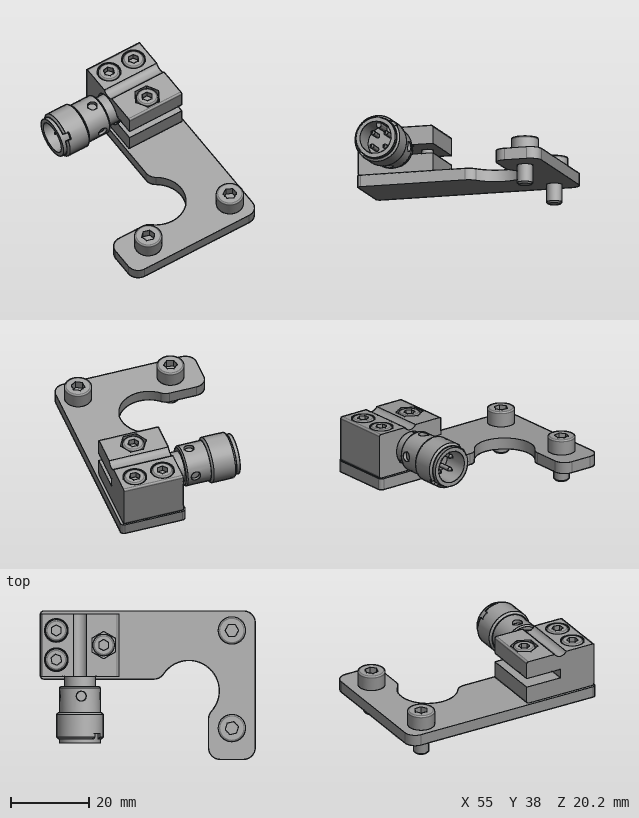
import cadquery as cq
import math


plate_length = 55.0
plate_width = 38.0
plate_thickness = 3.0
arm_width = 17.5
leg_width = 12.0
plate_round = 3.0
arm_end_round = 1.0
cutout_radius = 7.75
cutout_x = 38.0
cutout_y = -20.45

block_length = 20.0
block_width = 16.0
block_height = 12.0
block_gap = 0.15
block_edge_round = 0.5
block_front = -(arm_width + block_width) / 2
block_mid_x = block_gap + block_length / 2
block_mid_y = -arm_width / 2
block_mid_z = block_height / 2
groove_radius = 2.0
groove_rise = 1.0
slot_height = 2.5

connector_turn = -4.0
neck_diameter = 8.0
neck_recess_diameter = 8.9
neck_recess_depth = 2.0
body_start = 2.6
body_end = 17.05
body_diameter = 10.55
body_chamfer = 0.4
ring_start = 9.2
ring_end = 16.05
ring_diameter = block_height
ring_chamfer = 0.55
diagonal_turn = 45
notch_width = 2.0
notch_depth = 1.5
wrench_hole_diameter = 2.55
wrench_hole_depth = 1.0
wrench_hole_place = 5.05
socket_diameter = 8.35
socket_depth = 7.0
key_diameter = 1.25
key_offset = 3.5
key_setback = 2.0
pin_diameter = 1.1
pin_length = 5.0
pin_tip_length = 0.9
pin_tip_inset = 0.35
pin_circle_radius = 2.5

large_shank = 4.0
large_head = 7.0
large_head_height = 4.0
large_socket = 3.0
large_length = 8.05
small_shank = 3.0
small_head = 5.5
small_head_height = 3.0
small_socket = 2.5
mount_length = 11.0
clamp_length = 8.0
head_round = 0.4
tip_chamfer = 0.45
socket_ratio = 0.5

leg_screw_x = plate_length - leg_width / 2
leg_screw_inset = 5.0
leg_screw_spacing = 24.95
leg_screws = [
    (leg_screw_x, -leg_screw_inset, 32.0),
    (leg_screw_x, -leg_screw_inset - leg_screw_spacing, 44.0),
]
small_screw_offset = 6.05
mount_spacing = 7.5
mount_head_rise = 0.15
mount_x = block_mid_x - small_screw_offset
mount_screws = [
    (mount_x, block_mid_y + mount_spacing / 2, 0),
    (mount_x, block_mid_y - mount_spacing / 2, 10.0),
]
clamp_x = block_mid_x + small_screw_offset
seat_width = 6.05
mount_seat_z = block_height + mount_head_rise - small_head_height
clamp_seat_z = block_height - small_head_height


def hexagon(across_flats, height, turn):
    """Hexagonal prism standing on the XY plane, with a flat side turned from +X by the angle."""
    prism = cq.Workplane("XY").polygon(6, across_flats, circumscribed=True).extrude(height)
    return prism.rotate((0, 0, 0), (0, 0, 1), turn)


def cylinder(x, y, z, diameter, height):
    """Upright cylinder with the middle of its lower end at the point."""
    return cq.Workplane("XY", origin=(x, y, z)).circle(diameter / 2).extrude(height)


def socket_screw(shank, head, head_height, socket, length, turn):
    """Socket head cap screw along Z, with the underside of its head at the origin."""
    socket_depth = socket_ratio * head_height
    cap = cylinder(0, 0, 0, head, head_height).faces(">Z").edges().fillet(head_round)
    stem = cylinder(0, 0, -length, shank, length).faces("<Z").edges().chamfer(tip_chamfer)
    recess = hexagon(socket, socket_depth, turn).translate((0, 0, head_height - socket_depth))
    return cap.union(stem).cut(recess)


def round_corner(plate, x, y, radius):
    """Round the vertical edge of the plate nearest to the point."""
    edge = cq.selectors.NearestToPointSelector((x, y, -plate_thickness / 2))
    return plate.edges("|Z").edges(edge).fillet(radius)


def make_plate():
    leg_left = plate_length - leg_width
    plate = (
        cq.Workplane("XY")
        .polyline([
            (0, 0),
            (plate_length, 0),
            (plate_length, -plate_width),
            (leg_left, -plate_width),
            (leg_left, -arm_width),
            (0, -arm_width),
        ])
        .close()
        .extrude(-plate_thickness)
    )
    cutout = cylinder(cutout_x, cutout_y, -plate_thickness, 2 * cutout_radius, plate_thickness)
    plate = plate.cut(cutout)

    arm_break = cutout_x - math.sqrt(cutout_radius**2 - (arm_width + cutout_y) ** 2)
    leg_break = cutout_y - math.sqrt(cutout_radius**2 - (leg_left - cutout_x) ** 2)
    plate = round_corner(plate, arm_break, -arm_width, plate_round)
    plate = round_corner(plate, leg_left, leg_break, plate_round)
    plate = round_corner(plate, plate_length, 0, plate_round)
    plate = round_corner(plate, plate_length, -plate_width, plate_round)
    plate = round_corner(plate, leg_left, -plate_width, plate_round)
    plate = round_corner(plate, 0, 0, arm_end_round)
    plate = round_corner(plate, 0, -arm_width, arm_end_round)

    for x, y, _ in leg_screws:
        plate = plate.cut(cylinder(x, y, -plate_thickness, large_shank, plate_thickness))
    return plate


def front_cylinder(start, end, diameter):
    """Cylinder along the connector axis between two distances forward of the block face."""
    plane = cq.Workplane("XZ", origin=(0, -start, 0))
    return plane.circle(diameter / 2).extrude(end - start)


def make_connector():
    """Round plug connector along -Y, with the middle of its block face at the origin."""
    neck = front_cylinder(-neck_recess_depth, body_start, neck_diameter)
    body = front_cylinder(body_start, body_end, body_diameter).faces(">Y").edges().chamfer(body_chamfer)
    ring = front_cylinder(ring_start, ring_end, ring_diameter).edges().chamfer(ring_chamfer)

    notch_bar = (
        cq.Workplane("XY")
        .box(ring_diameter, notch_depth, notch_width)
        .translate((0, notch_depth / 2 - ring_end, 0))
        .rotate((0, 0, 0), (0, 1, 0), -diagonal_turn)
    )
    ring = ring.cut(notch_bar)
    connector = neck.union(body).union(ring)

    hole_floor = body_diameter / 2 - wrench_hole_depth
    hole = cylinder(0, -wrench_hole_place, hole_floor, wrench_hole_diameter, body_diameter)
    for quarter in range(4):
        connector = connector.cut(hole.rotate((0, 0, 0), (0, 1, 0), 90 * quarter))

    socket_floor = body_end - socket_depth
    socket = front_cylinder(socket_floor, body_end, socket_diameter)
    key_end = body_end - key_setback
    key_length = key_end - socket_floor
    key_slab = cq.Workplane("XY").box(key_diameter, key_length, key_offset, centered=(True, True, False))
    key_slab = key_slab.translate((0, key_length / 2 - key_end, key_offset))
    key_nose = front_cylinder(socket_floor, key_end, key_diameter).translate((0, 0, key_offset))
    connector = connector.cut(socket.cut(key_slab).cut(key_nose))
    pin = front_cylinder(socket_floor, socket_floor + pin_length, pin_diameter)
    pin = pin.faces("<Y").edges().chamfer(pin_tip_length, pin_tip_inset).translate((pin_circle_radius, 0, 0))
    for quarter in range(4):
        connector = connector.union(pin.rotate((0, 0, 0), (0, 1, 0), diagonal_turn + 90 * quarter))

    return connector.rotate((0, 0, 0), (0, 1, 0), -connector_turn)


def make_sensor():
    """Block with the connector formed on its front."""
    block = (
        cq.Workplane("XY")
        .box(block_length, block_width, block_height)
        .translate((block_mid_x, block_mid_y, block_mid_z))
        .edges("|Y")
        .fillet(block_edge_round)
    )

    groove = (
        cq.Workplane("XZ", origin=(block_mid_x, 0, block_height + groove_rise))
        .circle(groove_radius)
        .extrude(arm_width)
    )
    slot = (
        cq.Workplane("XY")
        .box(block_length / 2, block_width, slot_height)
        .translate((block_mid_x + block_length / 4, block_mid_y, block_mid_z))
    )
    block = block.cut(groove).cut(slot)

    for x, y, _ in mount_screws:
        block = block.cut(cylinder(x, y, mount_seat_z, seat_width, block_height))
        block = block.cut(cylinder(x, y, 0, small_shank, block_height))

    hex_seat = hexagon(seat_width, block_height, 0).translate((clamp_x, block_mid_y, clamp_seat_z))
    clamp_hole = cylinder(clamp_x, block_mid_y, clamp_seat_z - clamp_length, small_shank, clamp_length)
    block = block.cut(hex_seat).cut(clamp_hole)

    connector_place = (block_mid_x, block_front, block_mid_z)
    neck_recess = front_cylinder(-neck_recess_depth, 0, neck_recess_diameter)
    block = block.cut(neck_recess.translate(connector_place))
    return block.union(make_connector().translate(connector_place))


def make_leg_screw(x, y, turn):
    screw = socket_screw(large_shank, large_head, large_head_height, large_socket, large_length, turn)
    return screw.translate((x, y, 0))


def make_mount_screw(x, y, turn):
    screw = socket_screw(small_shank, small_head, small_head_height, small_socket, mount_length, turn)
    return screw.translate((x, y, mount_seat_z))


def make_clamp_screw():
    screw = socket_screw(small_shank, small_head, small_head_height, small_socket, clamp_length, 0)
    return screw.translate((clamp_x, block_mid_y, clamp_seat_z))


mounting = [make_mount_screw(*place) for place in mount_screws]
fixing = [make_leg_screw(*place) for place in leg_screws]
clamp = make_clamp_screw()
sensor = make_sensor()
plate = make_plate()
for screw in mounting:
    plate = plate.cut(screw)

result = cq.Compound.makeCompound([
    plate.val(),
    sensor.val(),
    clamp.val(),
    *[screw.val() for screw in mounting],
    *[screw.val() for screw in fixing],
])